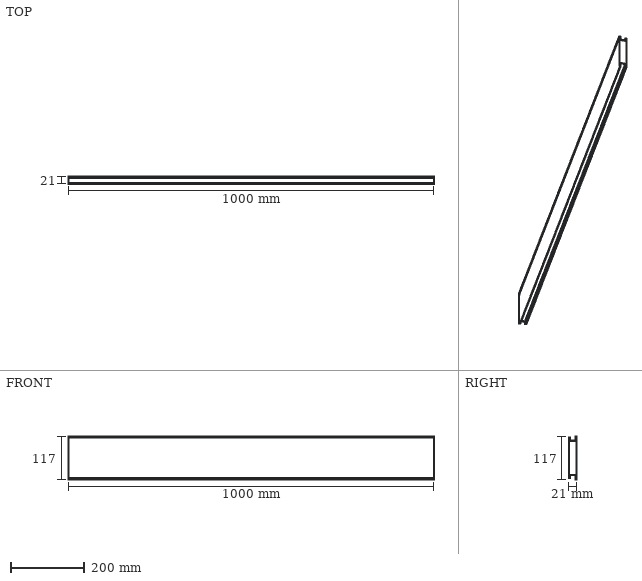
import cadquery as cq

length = 1000.0
width = 21.0
height = 117.0

skin_thickness = 3.5
front_skin_height = 110.5
core_height = 94.0
outer_edge_radius = 0.5

core_width = width - 2 * skin_thickness
skin_offset = (width - skin_thickness) / 2


def bar(y_size, z_size):
    """Full-length rectangular bar, centred on the origin."""
    return cq.Workplane("XY").box(length, y_size, z_size)


def skin(z_size, outer_face, y_center):
    """Side skin with its two long outer edges rounded."""
    plate = bar(skin_thickness, z_size).faces(outer_face).edges("|X").fillet(outer_edge_radius)
    return plate.translate((0, y_center, 0))


core = bar(core_width, core_height)

back_skin = skin(height, ">Y", skin_offset)
front_skin = skin(front_skin_height, "<Y", -skin_offset)

result = core.union(back_skin).union(front_skin)